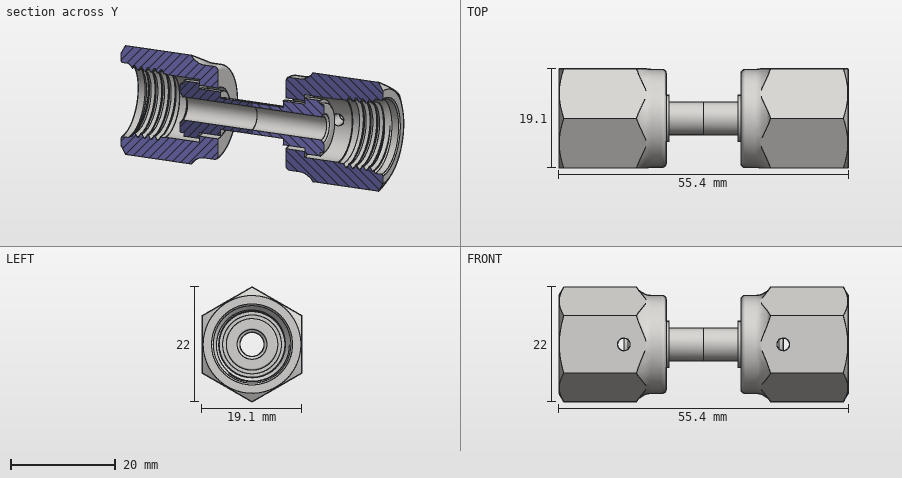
import cadquery as cq
import math


overall_length = 55.37
hex_across_flats = 19.05
hex_across_corners = hex_across_flats / math.cos(math.radians(30))
hex_corner_radius = hex_across_corners / 2
nut_mouth = -overall_length / 2
nut_back = -7.12
mouth_face_radius = 9.35
mouth_bevel_angle = 30
collar_radius = 9.4
collar_start = -10.08
collar_edge_fillet = 0.88
blend_radius = 25.4 / 8

thread_pitch = 25.4 / 18
thread_root_radius = 7.14
thread_minor_radius = 6.38
thread_start_depth = 0.75
thread_turns = 5.5
thread_flank_angle = 30
thread_root_flat = thread_pitch / 8
thread_cut_overlap = 0.1
mouth_bore_radius = 7.42
mouth_bore_depth = 1.62
mouth_edge_chamfer_width = 0.33
mouth_edge_chamfer_depth = 0.2
seat_bore_radius = 6.28
seat_bore_start = -18.3
neck_hole_radius = 5.08
shoulder = -11.1

test_hole_diameter = 25.4 * 3 / 32
test_hole_x = -15.23

tube_radius = 6.35 / 2
bore_radius = 2.29
neck_radius = 4.45
neck_end = -6.58
head_radius = 5.63
head_face = -14.42
bead_radius = 4.93
bead_face = -15.25
bead_fillet = 0.27
bore_mouth_radius = 3.1
bore_cone_radius = 2.85
bore_mouth_fillet = bore_mouth_radius - bore_cone_radius
bore_cone_depth = 0.32


def turn(profile):
    """Revolve an (x, radius) profile about the X axis."""
    return profile.close().revolve(360, (0, 0, 0), (1, 0, 0))


def nut_envelope():
    """Turned outside of the nut that trims the corners of the hexagon."""
    bevel_length = (hex_corner_radius - mouth_face_radius) * math.tan(math.radians(mouth_bevel_angle))
    blend_rise = hex_corner_radius - collar_radius
    blend_length = math.sqrt(blend_radius**2 - (blend_radius - blend_rise) ** 2)
    profile = (
        cq.Workplane("XY")
        .moveTo(nut_mouth, 0)
        .lineTo(nut_mouth, mouth_face_radius)
        .lineTo(nut_mouth + bevel_length, hex_corner_radius)
        .lineTo(collar_start - blend_length, hex_corner_radius)
        .radiusArc((collar_start, collar_radius), -blend_radius)
        .lineTo(nut_back - collar_edge_fillet, collar_radius)
        .radiusArc((nut_back, collar_radius - collar_edge_fillet), collar_edge_fillet)
        .lineTo(nut_back, 0)
    )
    return turn(profile)


def nut_bore():
    """Mouth bore, cone, thread minor bore, seat bore for the head and clearance hole for the neck."""
    cone_end = nut_mouth + mouth_bore_depth + mouth_bore_radius - thread_minor_radius
    profile = (
        cq.Workplane("XY")
        .moveTo(nut_mouth, 0)
        .lineTo(nut_mouth, mouth_bore_radius + mouth_edge_chamfer_width)
        .lineTo(nut_mouth + mouth_edge_chamfer_depth, mouth_bore_radius)
        .lineTo(nut_mouth + mouth_bore_depth, mouth_bore_radius)
        .lineTo(cone_end, thread_minor_radius)
        .lineTo(seat_bore_start, thread_minor_radius)
        .lineTo(seat_bore_start + thread_minor_radius - seat_bore_radius, seat_bore_radius)
        .lineTo(shoulder, seat_bore_radius)
        .lineTo(shoulder, neck_hole_radius)
        .lineTo(nut_back, neck_hole_radius)
        .lineTo(nut_back, 0)
    )
    return turn(profile)


def thread_groove():
    """Right-hand helical groove, open at the mouth cone, with its axis along X."""
    inner_radius = thread_minor_radius - thread_cut_overlap
    root_half = thread_root_flat / 2
    flank_run = (thread_root_radius - inner_radius) * math.tan(math.radians(thread_flank_angle))
    inner_half = root_half + flank_run
    helix = cq.Wire.makeHelix(thread_pitch, thread_pitch * thread_turns, thread_minor_radius)
    groove = (
        cq.Workplane("XZ")
        .polyline([
            (inner_radius, -inner_half),
            (thread_root_radius, -root_half),
            (thread_root_radius, root_half),
            (inner_radius, inner_half),
        ])
        .close()
        .sweep(cq.Workplane(helix), isFrenet=True)
    )
    return groove.rotate((0, 0, 0), (0, 1, 0), 90).translate((nut_mouth + thread_start_depth, 0, 0))


def make_nut():
    """Hex nut with corners on the Z axis, bored, threaded and cross-drilled."""
    hexagon = (
        cq.Workplane("YZ")
        .workplane(offset=nut_mouth)
        .polygon(6, hex_across_corners)
        .extrude(nut_back - nut_mouth)
        .rotate((0, 0, 0), (1, 0, 0), 90)
    )
    test_hole = (
        cq.Workplane("XZ")
        .center(test_hole_x, 0)
        .circle(test_hole_diameter / 2)
        .extrude(hex_across_flats, both=True)
    )
    return hexagon.intersect(nut_envelope()).cut(nut_bore()).cut(thread_groove()).cut(test_hole)


def make_gland():
    """Sealing bead, head, neck and tube end, bored right through."""
    profile = (
        cq.Workplane("XY")
        .moveTo(0, bore_radius)
        .lineTo(0, tube_radius)
        .lineTo(neck_end, tube_radius)
        .lineTo(neck_end, neck_radius)
        .lineTo(shoulder, neck_radius)
        .lineTo(shoulder, head_radius)
        .lineTo(head_face, head_radius)
        .lineTo(head_face, bead_radius)
        .lineTo(bead_face + bead_fillet, bead_radius)
        .radiusArc((bead_face, bead_radius - bead_fillet), -bead_fillet)
        .lineTo(bead_face, bore_mouth_radius)
        .radiusArc((bead_face + bore_mouth_fillet, bore_cone_radius), -bore_mouth_fillet)
        .lineTo(bead_face + bore_mouth_fillet + bore_cone_depth, bore_radius)
    )
    return turn(profile)


nut = make_nut()
gland = make_gland()

nuts = []
glands = []
for turn_angle in (0, 180):
    nuts += nut.rotate((0, 0, 0), (0, 0, 1), turn_angle).solids().vals()
    glands += gland.rotate((0, 0, 0), (0, 0, 1), turn_angle).solids().vals()

result = cq.Compound.makeCompound([*nuts, *glands])